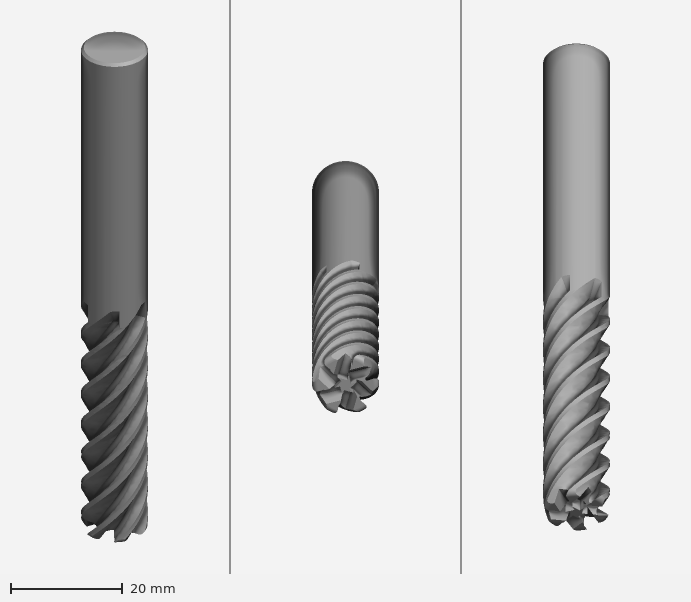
import cadquery as cq
import math

TOOL_LENGTH = 100.0
RADIUS = 6.0
CUT_LENGTH = 45.0
SHANK_CHAMFER = 0.5
CORNER_RADIUS = 1.0

TOOTH_COUNT = 6
HELIX_ANGLE = 45.0
LEAD = 2 * math.pi * RADIUS / math.tan(math.radians(HELIX_ANGLE))
TOOTH_PITCH = 360.0 / TOOTH_COUNT
EDGE_ANGLE_AT_NECK = 9.5

FLUTE_ANGLE = 48.0
CORE_RADIUS = 3.6
FLOOR_EDGE_RADIUS = 4.0
RAKE_FOOT_ANGLE = 2.0
BACK_FOOT_ANGLE = -16.0
BACK_MIDDLE_RADIUS = 5.0
OUTSIDE_RADIUS = 1.4 * RADIUS

RUNOUT_LENGTH = 3.5
RUNOUT_TIP_ANGLE = 7.0
CUTTER_MARGIN = 0.5

GASH_HEIGHT = 2.2
GASH_WIDTH = 2.6
GASH_ROOF_WIDTH = 1.4
GASH_START = 1.0


def twist(height):
    """Turn of the helix, in degrees, over a height."""
    return 360.0 * height / LEAD


def polar(radius, angle):
    return radius * math.cos(math.radians(angle)), radius * math.sin(math.radians(angle))


def flute_face(edge_angle, height):
    """Cross-section of one flute whose cutting edge lies at edge_angle."""
    floor_angle = (RAKE_FOOT_ANGLE + BACK_FOOT_ANGLE) / 2
    back_middle_angle = (BACK_FOOT_ANGLE - FLUTE_ANGLE) / 2
    outline = (
        cq.Workplane("XY", origin=(0, 0, height))
        .moveTo(*polar(RADIUS, edge_angle))
        .lineTo(*polar(FLOOR_EDGE_RADIUS, edge_angle + RAKE_FOOT_ANGLE))
        .threePointArc(
            polar(CORE_RADIUS, edge_angle + floor_angle),
            polar(FLOOR_EDGE_RADIUS, edge_angle + BACK_FOOT_ANGLE),
        )
        .threePointArc(
            polar(BACK_MIDDLE_RADIUS, edge_angle + back_middle_angle),
            polar(RADIUS, edge_angle - FLUTE_ANGLE),
        )
        .lineTo(*polar(OUTSIDE_RADIUS, edge_angle - FLUTE_ANGLE))
        .lineTo(*polar(OUTSIDE_RADIUS, edge_angle))
        .close()
    )
    return cq.Face.makeFromWires(outline.val())


def twisted_prism(face, base_height, length):
    """Helical solid that follows the flutes upward from a cross-section."""
    return cq.Solid.extrudeLinearWithRotation(
        face, cq.Vector(0, 0, base_height), cq.Vector(0, 0, length), twist(length)
    )


def corner_ring():
    """Ring outside the rounded corner of the free end."""
    corner_centre = RADIUS - CORNER_RADIUS
    arc_reach = CORNER_RADIUS * math.sqrt(0.5)
    return (
        cq.Workplane("XZ")
        .moveTo(corner_centre, 0)
        .threePointArc((corner_centre + arc_reach, CORNER_RADIUS - arc_reach), (RADIUS, CORNER_RADIUS))
        .lineTo(OUTSIDE_RADIUS, CORNER_RADIUS)
        .lineTo(OUTSIDE_RADIUS, -CUTTER_MARGIN)
        .lineTo(corner_centre, -CUTTER_MARGIN)
        .close()
        .revolve(360, (0, 0, 0), (0, 1, 0))
    )


def end_gash(edge_angle):
    """Wedge cut out of the free end, upright along the end cutting edge."""
    return (
        cq.Workplane("YZ", origin=(GASH_START, 0, 0))
        .polyline([(0, 0), (0, GASH_HEIGHT), (-GASH_ROOF_WIDTH, GASH_HEIGHT), (-GASH_WIDTH, 0)])
        .close()
        .extrude(OUTSIDE_RADIUS)
        .rotate((0, 0, 0), (0, 0, 1), edge_angle)
    )


def make_cutting_body():
    first_edge = EDGE_ANGLE_AT_NECK - twist(CUT_LENGTH)
    edge_angles = [first_edge + TOOTH_PITCH * i for i in range(TOOTH_COUNT)]

    disc_edge = cq.Wire.makeCircle(RADIUS, cq.Vector(0, 0, 0), cq.Vector(0, 0, 1))
    section = cq.Face.makeFromWires(disc_edge)
    section = section.cut(*[flute_face(angle, 0) for angle in edge_angles]).Faces()[0]
    fluted_rod = twisted_prism(section, 0, CUT_LENGTH)
    gashes = [end_gash(angle).val() for angle in edge_angles]
    return cq.Workplane(fluted_rod.cut(corner_ring().val(), *gashes))


def rising_wedge(angle):
    """Space outside a flat floor that rises from the flute core to the neck surface."""
    floor_slope = RUNOUT_LENGTH / (RADIUS - CORE_RADIUS)
    base_height = CUT_LENGTH - CUTTER_MARGIN
    base_radius = CORE_RADIUS - CUTTER_MARGIN / floor_slope
    top_height = base_height + floor_slope * (OUTSIDE_RADIUS - base_radius)
    return (
        cq.Workplane("XZ")
        .polyline([(base_radius, base_height), (OUTSIDE_RADIUS, base_height), (OUTSIDE_RADIUS, top_height)])
        .close()
        .extrude(OUTSIDE_RADIUS, both=True)
        .rotate((0, 0, 0), (0, 0, 1), angle)
    )


def runout_cutter(edge_angle):
    """Flute end: the back wall follows the helix, the rake wall stays upright, the floor rises."""
    base_height = CUT_LENGTH - CUTTER_MARGIN
    length = RUNOUT_LENGTH + 2 * CUTTER_MARGIN
    helical = twisted_prism(flute_face(edge_angle - twist(CUTTER_MARGIN), base_height), base_height, length)
    upright = cq.Solid.extrudeLinear(flute_face(edge_angle, base_height), cq.Vector(0, 0, length))
    return rising_wedge(edge_angle - RUNOUT_TIP_ANGLE).intersect(cq.Workplane(helical.intersect(upright)))


def make_shank():
    seam_angle = EDGE_ANGLE_AT_NECK + (TOOTH_PITCH - FLUTE_ANGLE) / 2 - 2 * TOOTH_PITCH
    shank = (
        cq.Workplane("XZ")
        .moveTo(0, CUT_LENGTH)
        .lineTo(RADIUS, CUT_LENGTH)
        .lineTo(RADIUS, TOOL_LENGTH - SHANK_CHAMFER)
        .lineTo(RADIUS - SHANK_CHAMFER, TOOL_LENGTH)
        .lineTo(0, TOOL_LENGTH)
        .close()
        .revolve(360, (0, 0, 0), (0, 1, 0))
        .rotate((0, 0, 0), (0, 0, 1), seam_angle)
    )
    cutter = runout_cutter(EDGE_ANGLE_AT_NECK)
    flute_ends = [cutter.rotate((0, 0, 0), (0, 0, 1), TOOTH_PITCH * i).val() for i in range(TOOTH_COUNT)]
    return cq.Workplane(shank.val().cut(*flute_ends))


cutting_body = make_cutting_body()
shank = make_shank()
result = cq.Compound.makeCompound([*cutting_body.solids().vals(), *shank.solids().vals()])